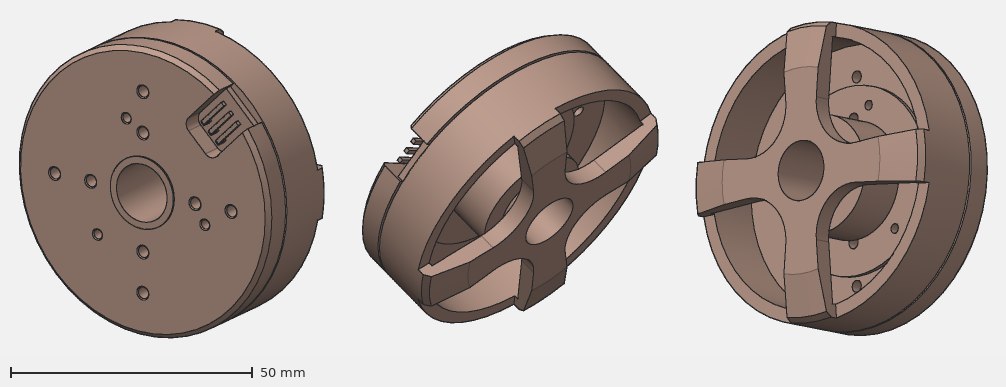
import cadquery as cq
import math


outer_radius = 31.5
shaft_radius = 7.85
bore_radius = 6.3
rim_overrun = 1.0

plate_thickness = 6.1
plate_chamfer = 1.0
air_gap = 0.5
spacer_radius = 20.0
spacer_height = 1.0
sleeve_radius = 12.5
sleeve_back = 17.75

mount_hole_diameter = 2.5
mount_hole_mouth_diameter = 3.0
mount_circle_radii = (13.0, 22.0)
mount_hole_count = 4
small_hole_diameter = 2.0
small_hole_mouth_diameter = 2.5
small_circle_radius = 16.0
small_hole_count = 3
small_hole_start_angle = 105.0

pocket_angle = 45.0
pocket_width = 10.0
pocket_inner_end = 19.1
pocket_corner_radius = 2.0
pocket_floor_thickness = 1.6
pocket_floor_end = 30.1
pocket_floor_depth = plate_thickness - pocket_floor_thickness

pin_count = 3
pin_pitch = 2.54
pin_size = 0.95
pin_start = 21.1
pin_end = 29.1
pin_front_depth = 1.6

shaft_tip_projection = 0.4
rotor_front = plate_thickness + air_gap
ring_back = 18.75
ring_inner_radius = 28.6
spider_front = 19.7
rotor_back = 23.6
rim_chamfer_start = 20.4
taper_outer_depth = 21.8
taper_outer_radius = 30.5
taper_inner_radius = 21.7

arm_count = 4
arm_root_radius = 15.0
arm_root_half_width = 4.2
arm_tip_half_width = 5.55


def disc(radius, y_start, y_end):
    """Solid cylinder on the Y axis between two depths."""
    return cq.Workplane("XZ", origin=(0, y_start, 0)).circle(radius).extrude(y_start - y_end)


def polar_points(count, radius, start_angle):
    """Evenly spaced (x, z) points on a circle round the Y axis."""
    angles = [math.radians(start_angle + i * 360.0 / count) for i in range(count)]
    return [(radius * math.cos(a), radius * math.sin(a)) for a in angles]


def countersunk_holes(points, diameter, mouth_diameter, depth):
    """Cutter for holes entering the front face, each with a 45 degree mouth."""
    mouth_depth = (mouth_diameter - diameter) / 2
    cutter = cq.Workplane("XZ")
    for x, z in points:
        hole = cq.Solid.makeCylinder(diameter / 2, depth, cq.Vector(x, 0, z), cq.Vector(0, 1, 0))
        mouth = cq.Solid.makeCone(
            mouth_diameter / 2, diameter / 2, mouth_depth, cq.Vector(x, 0, z), cq.Vector(0, 1, 0)
        )
        cutter = cutter.add(hole.fuse(mouth))
    return cutter.combine()


def turn_to_pocket(shape):
    """Turn a shape laid out along +X to the pocket direction, between +X and +Z."""
    return shape.rotate((0, 0, 0), (0, 1, 0), -pocket_angle)


def make_pocket():
    """Open-ended pocket whose floor stops short of the rim."""
    length = outer_radius + rim_overrun - pocket_inner_end
    recess = (
        cq.Workplane("XY")
        .box(length, pocket_floor_depth, pocket_width, centered=(False, False, True))
        .translate((pocket_inner_end, 0, 0))
        .edges("|Y and <X")
        .fillet(pocket_corner_radius)
    )
    rim_gap = (
        cq.Workplane("XY")
        .box(length, plate_thickness, pocket_width, centered=(False, False, True))
        .translate((pocket_floor_end, 0, 0))
    )
    return turn_to_pocket(recess.union(rim_gap))


def make_pins():
    """Row of bent pins standing on the pocket floor."""
    pin_back_depth = pin_front_depth + pin_size
    outline = (
        cq.Workplane("XY")
        .moveTo(pin_start, pocket_floor_depth)
        .lineTo(pin_start, pin_back_depth)
        .radiusArc((pin_start + pin_size, pin_front_depth), pin_size)
        .lineTo(pin_end, pin_front_depth)
        .lineTo(pin_end, pin_back_depth)
        .lineTo(pin_start + pin_size, pin_back_depth)
        .lineTo(pin_start + pin_size, pocket_floor_depth)
        .close()
    )
    pin = outline.extrude(pin_size / 2, both=True)
    pins = cq.Workplane("XY")
    for i in range(pin_count):
        offset = (i - (pin_count - 1) / 2) * pin_pitch
        pins = pins.add(pin.translate((0, 0, offset)).val())
    return turn_to_pocket(pins.combine())


def make_stator_base():
    """Base plate with spacer, bearing sleeve, holes and connector pocket."""
    spacer_back = plate_thickness + spacer_height
    plate = disc(outer_radius, 0, plate_thickness).faces("<Y").edges().chamfer(plate_chamfer)
    base = plate.union(disc(spacer_radius, 0, spacer_back))

    mount_points = []
    for radius in mount_circle_radii:
        mount_points += polar_points(mount_hole_count, radius, 0)
    small_points = polar_points(small_hole_count, small_circle_radius, small_hole_start_angle)
    base = base.cut(
        countersunk_holes(mount_points, mount_hole_diameter, mount_hole_mouth_diameter, spacer_back)
    )
    base = base.cut(
        countersunk_holes(small_points, small_hole_diameter, small_hole_mouth_diameter, spacer_back)
    )

    base = base.union(disc(sleeve_radius, spacer_back, sleeve_back))
    base = base.cut(disc(shaft_radius, 0, sleeve_back))
    return base.cut(make_pocket()).union(make_pins())


def turned(point, angle):
    """Turn an (x, z) point about the Y axis by an angle in degrees."""
    x, z = point
    turn = math.radians(angle)
    return (x * math.cos(turn) - z * math.sin(turn), x * math.sin(turn) + z * math.cos(turn))


def make_spider_cross():
    """Cross of widening arms joined by round windows, extruded behind the ring."""
    slope = (arm_tip_half_width - arm_root_half_width) / (outer_radius - arm_root_radius)
    overhang_radius = outer_radius + rim_overrun
    overhang_half_width = arm_root_half_width + slope * (overhang_radius - arm_root_radius)

    tilt = math.atan(slope)
    window_radius = (arm_root_radius - arm_root_half_width) / (math.cos(tilt) + math.sin(tilt))
    window_centre = arm_root_radius - window_radius * math.sin(tilt)
    arc_middle = window_centre - window_radius * math.sqrt(0.5)

    tip_start = (overhang_radius, -overhang_half_width)
    tip_end = (overhang_radius, overhang_half_width)
    window_start = (arm_root_radius, arm_root_half_width)
    window_middle = (arc_middle, arc_middle)
    window_end = (arm_root_half_width, arm_root_radius)

    outline = cq.Workplane("XZ", origin=(0, ring_back, 0)).moveTo(*tip_start)
    for i in range(arm_count):
        angle = i * 360.0 / arm_count
        next_angle = angle + 360.0 / arm_count
        outline = outline.lineTo(*turned(tip_end, angle))
        outline = outline.lineTo(*turned(window_start, angle))
        outline = outline.threePointArc(turned(window_middle, angle), turned(window_end, angle))
        if i < arm_count - 1:
            outline = outline.lineTo(*turned(tip_start, next_angle))
    return outline.close().extrude(ring_back - rotor_back)


def make_rotor():
    """Magnet ring, spider back with a tapered rim, and the hollow shaft."""
    bell = (
        cq.Workplane("XY")
        .moveTo(0, spider_front)
        .lineTo(ring_inner_radius, spider_front)
        .lineTo(ring_inner_radius, rotor_front)
        .lineTo(outer_radius, rotor_front)
        .lineTo(outer_radius, rim_chamfer_start)
        .lineTo(taper_outer_radius, taper_outer_depth)
        .lineTo(taper_inner_radius, rotor_back)
        .lineTo(0, rotor_back)
        .close()
        .revolve(360, (0, 0, 0), (0, 1, 0))
    )
    windows = disc(outer_radius, ring_back, rotor_back).cut(make_spider_cross())
    shaft = disc(shaft_radius, -shaft_tip_projection, rotor_back)
    bore = disc(bore_radius, -shaft_tip_projection, rotor_back)
    return bell.cut(windows).union(shaft).cut(bore)


stator_base = make_stator_base()
rotor = make_rotor()

result = cq.Compound.makeCompound([stator_base.val(), rotor.val()])